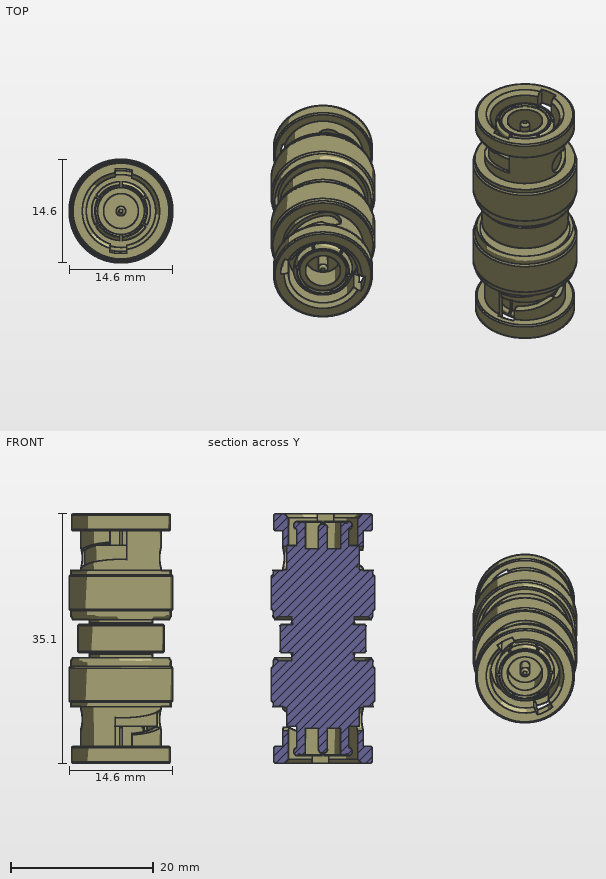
import cadquery as cq

LENGTH = 35.1
HALF_LENGTH = LENGTH / 2

FLANGE_RADIUS = 6.95
FLANGE_DEPTH = 2.42
FLANGE_CHAMFER = 0.2
NECK_RADIUS = 5.7
NUT_START = 7.97
NUT_END = 14.88
NUT_RADIUS = 7.3
NUT_CHAMFER = 0.25
NUT_RIM_RADIUS = NUT_RADIUS - NUT_CHAMFER
NUT_FRONT_RIM = 0.6
NUT_BACK_RIM = 0.7
NUT_BACK_TAPER_DEPTH = 0.53
NUT_BACK_TAPER = 0.28
NUT_BACK_BLEND_RADIUS = 0.35
NUT_BACK_FLOOR_RADIUS = 6.32
NUT_BACK_FLOOR_DEPTH = 0.4

JOINT_RADIUS = 4.45
JOINT_GROOVE_START = 15.35
JOINT_GROOVE_RADIUS = 4.28
RING_RADIUS = 6.07
RING_HALF_HEIGHT = 2.0
RING_CHAMFER = 0.2

BORE_RADIUS = 4.88
BORE_MOUTH_RADIUS = 5.45
BORE_MOUTH_DEPTH = 0.55
UPPER_SHELF_DEPTH = 4.45
LOWER_SHELF_DEPTH = 5.2
SHELF_RADIUS = 5.12

SLEEVE_TIP_DEPTH = 1.05
SLEEVE_RADIUS = 3.7
SLEEVE_BULGE_RADIUS = 4.15
SLEEVE_BULGE_DEPTH = 1.65
SLEEVE_BULGE_END_DEPTH = 2.25
SLEEVE_TIP_RADIUS = 3.7
SLEEVE_TIP_INNER_RADIUS = 3.58
SLEEVE_BORE_RADIUS = 3.3
SLEEVE_BORE_TAPER = 0.28
SLIT_WIDTH = 0.3
SLIT_END_DEPTH = 5.0
SLIT_COUNT = 6

INSULATOR_DEPTH = 1.2
INSULATOR_BORE_RADIUS = 2.45
INSULATOR_FLOOR_DEPTH = 4.9
PIN_RADIUS = 0.65
PIN_TIP_RADIUS = 0.28
PIN_TIP_DEPTH = 1.45
PIN_TIP_LENGTH = 0.45
PIN_NOSE_BULGE = 0.07

TRACK_WIDTH = 2.4
TRACK_ENTRY_EDGE = 0.8
TRACK_ENTRY_RADIUS = 5.95
TRACK_ANGLE = 14.5
ENTRY_WALL_SLOPE = 0.09
LOCK_HOLE_RADIUS = 1.6
LOCK_HOLE_DEPTH = 6.2


def disc(radius, start, end):
    """Solid cylinder between two depths, with depth pointing down from the upper end face."""
    return cq.Workplane("XY", origin=(0, 0, HALF_LENGTH - end)).circle(radius).extrude(end - start)


def revolve(points):
    """Turn a closed (radius, depth) outline about the Z axis."""
    outline = [(radius, HALF_LENGTH - depth) for radius, depth in points]
    return cq.Workplane("XZ").polyline(outline).close().revolve(360, (0, 0), (0, 1))


def outer_shell():
    shell = revolve([
        (0, 0),
        (FLANGE_RADIUS - FLANGE_CHAMFER, 0),
        (FLANGE_RADIUS, FLANGE_CHAMFER),
        (FLANGE_RADIUS, FLANGE_DEPTH - FLANGE_CHAMFER),
        (FLANGE_RADIUS - FLANGE_CHAMFER, FLANGE_DEPTH),
        (NECK_RADIUS, FLANGE_DEPTH),
        (NECK_RADIUS, NUT_START),
        (NUT_RIM_RADIUS, NUT_START),
        (NUT_RIM_RADIUS, NUT_START + NUT_FRONT_RIM),
        (NUT_RADIUS, NUT_START + NUT_FRONT_RIM + NUT_CHAMFER),
        (NUT_RADIUS, NUT_END - NUT_BACK_TAPER_DEPTH - NUT_BACK_RIM - NUT_CHAMFER),
        (NUT_RIM_RADIUS, NUT_END - NUT_BACK_TAPER_DEPTH - NUT_BACK_RIM),
        (NUT_RIM_RADIUS, NUT_END - NUT_BACK_TAPER_DEPTH),
        (NUT_RIM_RADIUS - NUT_BACK_TAPER, NUT_END),
        (NUT_BACK_FLOOR_RADIUS, NUT_END - NUT_BACK_FLOOR_DEPTH),
        (JOINT_RADIUS, NUT_END - NUT_BACK_FLOOR_DEPTH),
        (JOINT_RADIUS, JOINT_GROOVE_START),
        (JOINT_GROOVE_RADIUS, JOINT_GROOVE_START),
        (JOINT_GROOVE_RADIUS, HALF_LENGTH),
        (0, HALF_LENGTH),
    ])
    taper_corner = (0, 0, HALF_LENGTH - NUT_END + NUT_BACK_TAPER_DEPTH)
    return shell.edges(cq.NearestToPointSelector(taper_corner)).fillet(NUT_BACK_BLEND_RADIUS)


def socket_bore(shelf_depth):
    return revolve([
        (0, 0),
        (BORE_MOUTH_RADIUS, 0),
        (BORE_RADIUS, BORE_MOUTH_DEPTH),
        (BORE_RADIUS, shelf_depth),
        (0, shelf_depth),
    ])


def bayonet_track(shelf_depth):
    """One track: an axial entry on the -Y side, then a sloped channel to the lock hole on the -X side."""
    hole_z = HALF_LENGTH - LOCK_HOLE_DEPTH
    reach = 2 * NUT_RADIUS
    profile = cq.Workplane("YZ", origin=(-reach, 0, hole_z))
    hole = profile.circle(LOCK_HOLE_RADIUS).extrude(reach)
    channel = (
        profile.transformed(rotate=(0, 0, -TRACK_ANGLE))
        .center(-reach / 2, TRACK_WIDTH / 2 - LOCK_HOLE_RADIUS)
        .rect(reach, TRACK_WIDTH)
        .extrude(reach + TRACK_ENTRY_EDGE)
    )
    entry_inner = BORE_RADIUS / 2
    far_edge = TRACK_ENTRY_EDGE - TRACK_WIDTH
    entry_outline = [
        (TRACK_ENTRY_EDGE, -entry_inner),
        (TRACK_ENTRY_EDGE, -reach),
        (far_edge - (reach - NECK_RADIUS) * ENTRY_WALL_SLOPE, -reach),
        (far_edge + (NECK_RADIUS - entry_inner) * ENTRY_WALL_SLOPE, -entry_inner),
    ]
    entry = (
        cq.Workplane("XY", origin=(0, 0, hole_z))
        .polyline(entry_outline)
        .close()
        .extrude(LOCK_HOLE_DEPTH)
    )
    limit = disc(TRACK_ENTRY_RADIUS, 0, NUT_START)
    core = disc(SHELF_RADIUS, shelf_depth, NUT_START)
    return hole.union(channel).union(entry).intersect(limit).cut(core)


def contact_sleeve(shelf_depth):
    profile = (
        cq.Workplane("XZ", origin=(0, 0, HALF_LENGTH))
        .moveTo(SLEEVE_BORE_RADIUS, -SLEEVE_TIP_DEPTH - SLEEVE_BORE_TAPER)
        .lineTo(SLEEVE_TIP_INNER_RADIUS, -SLEEVE_TIP_DEPTH)
        .lineTo(SLEEVE_TIP_RADIUS, -SLEEVE_TIP_DEPTH)
        .threePointArc(
            (SLEEVE_BULGE_RADIUS, -SLEEVE_BULGE_DEPTH),
            (SLEEVE_RADIUS, -SLEEVE_BULGE_END_DEPTH),
        )
        .lineTo(SLEEVE_RADIUS, -shelf_depth)
        .lineTo(SLEEVE_BORE_RADIUS, -shelf_depth)
        .close()
    )
    sleeve = profile.revolve(360, (0, 0), (0, 1))
    slit_end = min(shelf_depth, SLIT_END_DEPTH)
    slit = (
        cq.Workplane("XY", origin=(0, 0, HALF_LENGTH - slit_end))
        .rect(SLIT_WIDTH, 2 * NUT_RADIUS)
        .extrude(slit_end)
    )
    for index in range(SLIT_COUNT // 2):
        sleeve = sleeve.cut(slit.rotate((0, 0, 0), (0, 0, 1), index * 360 / SLIT_COUNT))
    return sleeve


def insulator(shelf_depth):
    return disc(SLEEVE_BORE_RADIUS, INSULATOR_DEPTH, shelf_depth)


def centre_pin():
    """Pin with a rounded nose and a small flat tip."""
    shoulder_depth = PIN_TIP_DEPTH + PIN_TIP_LENGTH
    profile = (
        cq.Workplane("XZ", origin=(0, 0, HALF_LENGTH))
        .moveTo(0, -PIN_TIP_DEPTH)
        .lineTo(PIN_TIP_RADIUS, -PIN_TIP_DEPTH)
        .sagittaArc((PIN_RADIUS, -shoulder_depth), PIN_NOSE_BULGE)
        .lineTo(PIN_RADIUS, -INSULATOR_FLOOR_DEPTH)
        .lineTo(0, -INSULATOR_FLOOR_DEPTH)
        .close()
    )
    return profile.revolve(360, (0, 0), (0, 1))


def coupling(shelf_depth):
    """One complete coupling occupying the upper half of the part."""
    track = bayonet_track(shelf_depth)
    body = outer_shell().cut(socket_bore(shelf_depth))
    body = body.cut(track).cut(track.rotate((0, 0, 0), (0, 0, 1), 180))
    body = body.union(contact_sleeve(shelf_depth)).union(insulator(shelf_depth))
    body = body.cut(disc(INSULATOR_BORE_RADIUS, 0, INSULATOR_FLOOR_DEPTH))
    return body.union(centre_pin())


def middle_ring():
    ring = disc(RING_RADIUS, HALF_LENGTH - RING_HALF_HEIGHT, HALF_LENGTH + RING_HALF_HEIGHT)
    return ring.faces("|Z").edges().chamfer(RING_CHAMFER)


upper = coupling(UPPER_SHELF_DEPTH)
lower = coupling(LOWER_SHELF_DEPTH).rotate((0, 0, 0), (0, 1, 0), 180)
result = upper.union(lower).union(middle_ring())